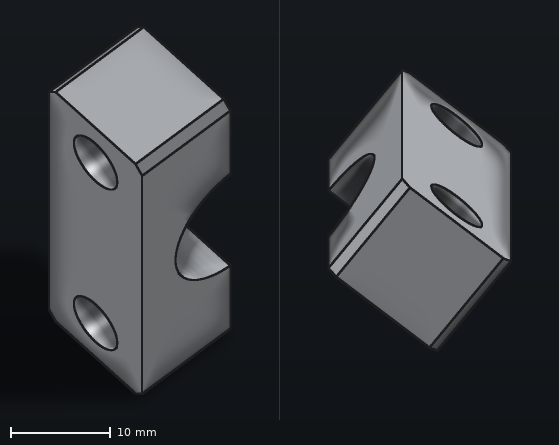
import cadquery as cq

width = 14.0
depth = 12.0
height = 40.0
edge_chamfer = 1.0
bolt_hole_diameter = 6.5
bolt_hole_spacing = 28.0
saddle_radius = 8.0
saddle_axis_offset = 0.5

block = cq.Workplane("XY").box(width, depth, height).edges("|Y").chamfer(edge_chamfer)

bolt_holes = (
    cq.Workplane("XZ")
    .pushPoints([(0, -bolt_hole_spacing / 2), (0, bolt_hole_spacing / 2)])
    .circle(bolt_hole_diameter / 2)
    .extrude(depth / 2, both=True)
)

saddle = (
    cq.Workplane("YZ")
    .center(depth / 2 + saddle_axis_offset, 0)
    .circle(saddle_radius)
    .extrude(width / 2, both=True)
)

result = block.cut(bolt_holes).cut(saddle)